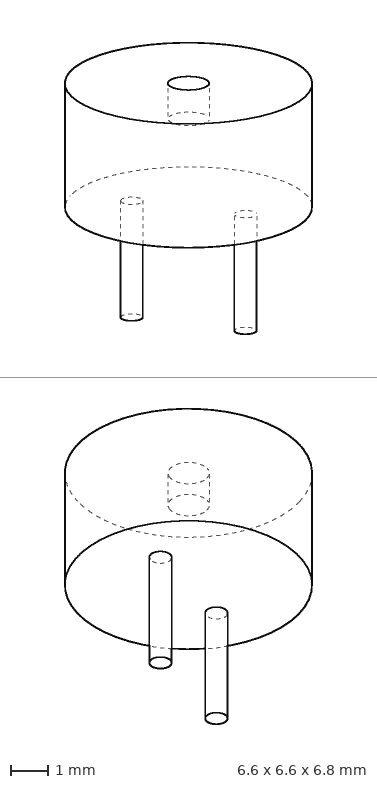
import cadquery as cq

total_height = 6.8
body_diameter = 6.6
body_height = 3.5

hole_diameter = 1.1
hole_depth = 1.0

pin_diameter = 0.6
pin_spacing = 3.22
pin_length = total_height - body_height


def make_body():
    """Upright cylinder standing on Z = 0, with the blind hole in its top."""
    body = cq.Workplane("XY").circle(body_diameter / 2).extrude(body_height)
    return body.faces(">Z").workplane().hole(hole_diameter, hole_depth)


def make_pins():
    """Pair of pins hanging from the underside of the body."""
    pin_places = [(-pin_spacing / 2, 0), (pin_spacing / 2, 0)]
    return cq.Workplane("XY").pushPoints(pin_places).circle(pin_diameter / 2).extrude(-pin_length)


result = make_body().union(make_pins())